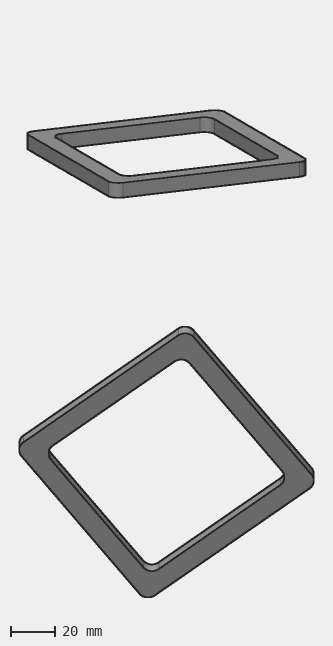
import cadquery as cq

length_x = 98.6
width_y = 97.7
thickness = 7.0

bar_width = 9.5

outer_corner_radius = 5.0
inner_corner_radius = 5.0


def rounded_block(size_x, size_y, corner_radius):
    """Block standing on Z = 0, centred in X and Y, with rounded vertical edges."""
    block = cq.Workplane("XY").rect(size_x, size_y).extrude(thickness)
    return block.edges("|Z").fillet(corner_radius)


outer_block = rounded_block(length_x, width_y, outer_corner_radius)
opening = rounded_block(
    length_x - 2 * bar_width,
    width_y - 2 * bar_width,
    inner_corner_radius,
)

result = outer_block.cut(opening)